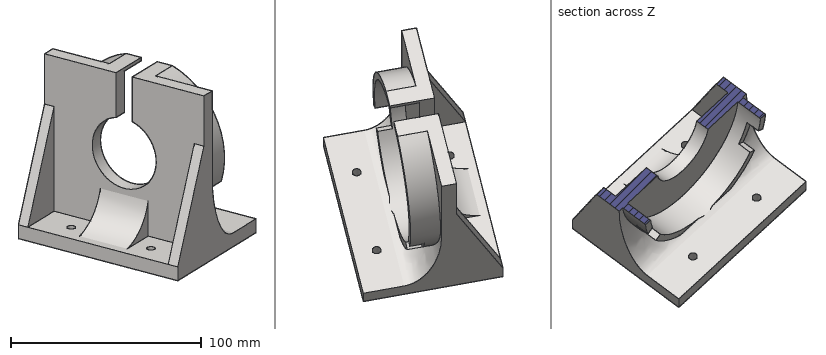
import cadquery as cq
import math

width = 100.0
depth = 75.0
base_thickness = 8.0
hole_diameter = 4.5
hole_spacing = 50.0

total_height = 96.78
plate_thickness = 8.0
plate_setback = 25.0
bore_radius = 20.0
bore_height = 51.75
slot_width = 10.0

ring_outer_radius = 47.3
ring_wall = 4.0
ring_length = 16.0
notch_depth = ring_length / 2
notch_width = 14.3
notch_tilt = 30.0
left_notch_lift = 2.5
right_notch_lift = 3.5

gusset_thickness = 6.0
gusset_height = 60.0
rear_fillet_depth = 20.0
rear_fillet_height = 40.0
front_rib_width = 30.0
front_rib_reach = 20.0
front_rib_sagitta = 4.1

base_front = -depth / 2
plate_front = base_front + plate_setback
plate_back = plate_front + plate_thickness
ring_back = plate_back + ring_length
ring_inner_radius = ring_outer_radius - ring_wall


def extrude_along_y(outline, y_start, y_end):
    """Extrude an XZ outline from y_start to y_end."""
    return outline.extrude(-(y_end - y_start)).translate((0, y_start, 0))


def cylinder_along_y(radius, y_start, y_end):
    """Cylinder on the bore axis."""
    circle = cq.Workplane("XZ").center(0, bore_height).circle(radius)
    return extrude_along_y(circle, y_start, y_end)


def box_between(x_size, y_start, y_end, z_start, z_end):
    """Box centred on X, placed by its Y and Z limits."""
    box = cq.Workplane("XY").box(x_size, y_end - y_start, z_end - z_start, centered=(True, False, False))
    return box.translate((0, y_start, z_start))


def make_base():
    """Base plate with four mounting holes."""
    base = box_between(width, base_front, -base_front, 0, base_thickness)
    return (
        base.faces(">Z").workplane(origin=(0, 0, base_thickness))
        .rect(hole_spacing, hole_spacing, forConstruction=True)
        .vertices().hole(hole_diameter)
    )


def make_gusset(x_start):
    """Triangular side wall in front of the upright."""
    return (
        cq.Workplane("YZ", origin=(x_start, 0, 0))
        .moveTo(base_front, base_thickness)
        .lineTo(plate_front, base_thickness)
        .lineTo(plate_front, base_thickness + gusset_height)
        .close().extrude(gusset_thickness)
    )


def make_front_rib():
    """Centre rib with a concave circular front face."""
    mid_offset = front_rib_reach / 2 - front_rib_sagitta * math.sqrt(0.5)
    return (
        cq.Workplane("YZ", origin=(-front_rib_width / 2, 0, 0))
        .moveTo(plate_front, base_thickness)
        .lineTo(plate_front, base_thickness + front_rib_reach)
        .threePointArc(
            (plate_front - mid_offset, base_thickness + mid_offset),
            (plate_front - front_rib_reach, base_thickness),
        )
        .close().extrude(front_rib_width)
    )


def make_rear_fillet():
    """Full-width elliptical fillet between the upright and the base."""
    block = box_between(
        width, plate_back, plate_back + rear_fillet_depth,
        base_thickness, base_thickness + rear_fillet_height,
    )
    hollow = (
        cq.Workplane("YZ", origin=(-width / 2, 0, 0))
        .center(plate_back + rear_fillet_depth, base_thickness + rear_fillet_height)
        .ellipse(rear_fillet_depth, rear_fillet_height)
        .extrude(width)
    )
    return block.cut(hollow)


def make_ring():
    """Solid disc trimmed flat at the top of the upright; the hollow is cut later."""
    disc = cylinder_along_y(ring_outer_radius, plate_back, ring_back)
    return disc.intersect(box_between(width, plate_back, ring_back, 0, total_height))


def make_notch(side, lift):
    """Straight slot through the rear half of the ring wall, sloping down and outwards on one side."""
    bar = box_between(
        2 * ring_outer_radius, ring_back - notch_depth, ring_back,
        lift - notch_width / 2, lift + notch_width / 2,
    )
    bar = bar.translate((side * ring_outer_radius, 0, 0)).rotate((0, 0, 0), (0, 1, 0), side * notch_tilt)
    return bar.translate((0, 0, bore_height))


upright = box_between(width, plate_front, plate_back, 0, total_height)
ring_hollow = cylinder_along_y(ring_inner_radius, plate_back, -base_front)
bore = cylinder_along_y(bore_radius, plate_front, plate_back)
slot = box_between(slot_width, plate_front, ring_back, bore_height, total_height)

result = make_base().union(upright).union(make_rear_fillet()).union(make_ring())
result = result.cut(ring_hollow).cut(bore).cut(slot)
result = result.cut(make_notch(-1, left_notch_lift)).cut(make_notch(1, right_notch_lift))
for gusset_x in (-width / 2, width / 2 - gusset_thickness):
    result = result.union(make_gusset(gusset_x))
result = result.union(make_front_rib())